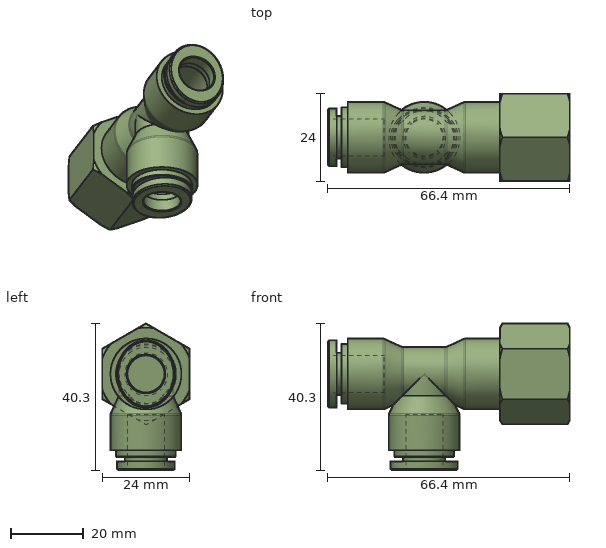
import cadquery as cq
import math


PORT_DIA = 19.5
WAIST_DIA = 14.8
WAIST_END = 5.95
SHOULDER = 11.05
PORT_FACE = 21.0
SHOULDER_BLEND = 1.2

SOCKET_DIA = 10.15
SOCKET_FLOOR = SHOULDER

COLLAR_DIA = 16.5
COLLAR_END = 22.8
COLLAR_CHAMFER = 0.25

SLEEVE_BORE = 10.2
STEM_DIA = 11.7
FLANGE_LONG = 18.5
FLANGE_SHORT = 15.9
FLANGE_START = 24.0
FLANGE_END = 26.4
FLANGE_CHAMFER = 0.4
MOUTH_CHAMFER = 0.25

HEX_FLATS = 24.0
HEX_START = 20.8
HEX_END = 40.0
HEX_FACE_DIA = 25.4
HEX_CHAMFER_ANGLE = 30.0
CORNER_TURN = 90

BRANCH_TURN = -90


def x_rod(dia, start, end):
    """Round rod along X from start to end."""
    return cq.Workplane("YZ", origin=(start, 0, 0)).circle(dia / 2).extrude(end - start)


def to_branch(shape):
    """Swing a shape from the left run port to the branch port."""
    return shape.rotate((0, 0, 0), (0, 1, 0), BRANCH_TURN)


def revolve_x(points):
    """Revolve an outline in the XY plane about the X axis."""
    return cq.Workplane("XY").polyline(points).close().revolve(360, (0, 0, 0), (1, 0, 0))


def blend_shoulders(arm, places):
    """Round the ends of the conical shoulders that lie at the given X places."""
    for x in places:
        ring = cq.selectors.BoxSelector(
            (x - SHOULDER_BLEND / 2, -PORT_DIA, -PORT_DIA),
            (x + SHOULDER_BLEND / 2, PORT_DIA, PORT_DIA),
        )
        arm = arm.edges("%CIRCLE").edges(ring).fillet(SHOULDER_BLEND)
    return arm


def make_tee_body():
    port_r = PORT_DIA / 2
    waist_r = WAIST_DIA / 2
    left_half = [
        (-PORT_FACE, 0),
        (-PORT_FACE, port_r),
        (-SHOULDER, port_r),
        (-WAIST_END, waist_r),
    ]
    right_half = [
        (WAIST_END, waist_r),
        (SHOULDER, port_r),
        (HEX_START, port_r),
        (HEX_START, 0),
    ]
    run = revolve_x(left_half + right_half)
    run = blend_shoulders(run, [-SHOULDER, -WAIST_END, WAIST_END, SHOULDER])
    branch = revolve_x(left_half + [(0, waist_r), (0, 0)])
    branch = blend_shoulders(branch, [-SHOULDER])
    socket = x_rod(SOCKET_DIA, -PORT_FACE, -SOCKET_FLOOR)
    return run.union(to_branch(branch)).cut(socket).cut(to_branch(socket))


def make_collar():
    """Collar of the left run port, seated on the port face."""
    ring = x_rod(COLLAR_DIA, -COLLAR_END, -PORT_FACE).faces("<X").edges().chamfer(COLLAR_CHAMFER)
    return ring.cut(x_rod(SLEEVE_BORE, -COLLAR_END, -PORT_FACE))


def make_sleeve():
    """Release sleeve of the left run port, long axis of its flange along Z."""
    flange = (
        cq.Workplane("YZ", origin=(-FLANGE_END, 0, 0))
        .ellipse(FLANGE_SHORT / 2, FLANGE_LONG / 2)
        .extrude(FLANGE_END - FLANGE_START)
        .faces("<X")
        .edges()
        .chamfer(FLANGE_CHAMFER)
    )
    sleeve = flange.union(x_rod(STEM_DIA, -FLANGE_START, -COLLAR_END))
    sleeve = sleeve.cut(x_rod(SLEEVE_BORE, -FLANGE_END, -COLLAR_END))
    return sleeve.faces("<X").edges("%CIRCLE").chamfer(MOUTH_CHAMFER)


def make_nut():
    """Hexagonal nut with two corners on Z, its corners trimmed by a cone at each end."""
    corner_r = HEX_FLATS / math.sqrt(3)
    length = HEX_END - HEX_START
    prism = (
        cq.Workplane("YZ", origin=(HEX_START, 0, 0))
        .transformed(rotate=(0, 0, CORNER_TURN))
        .polygon(6, 2 * corner_r)
        .extrude(length)
    )
    face_r = HEX_FACE_DIA / 2
    cone_depth = (corner_r - face_r) * math.tan(math.radians(HEX_CHAMFER_ANGLE))
    envelope = revolve_x([
        (HEX_START, 0),
        (HEX_START, face_r),
        (HEX_START + cone_depth, corner_r),
        (HEX_END - cone_depth, corner_r),
        (HEX_END, face_r),
        (HEX_END, 0),
    ])
    return prism.intersect(envelope)


tee_body = make_tee_body()
nut = make_nut()
bodies = [tee_body.val(), nut.val()]
for port_part in (make_collar(), make_sleeve()):
    bodies.append(port_part.val())
    bodies.append(to_branch(port_part).val())

result = cq.Compound.makeCompound(bodies)